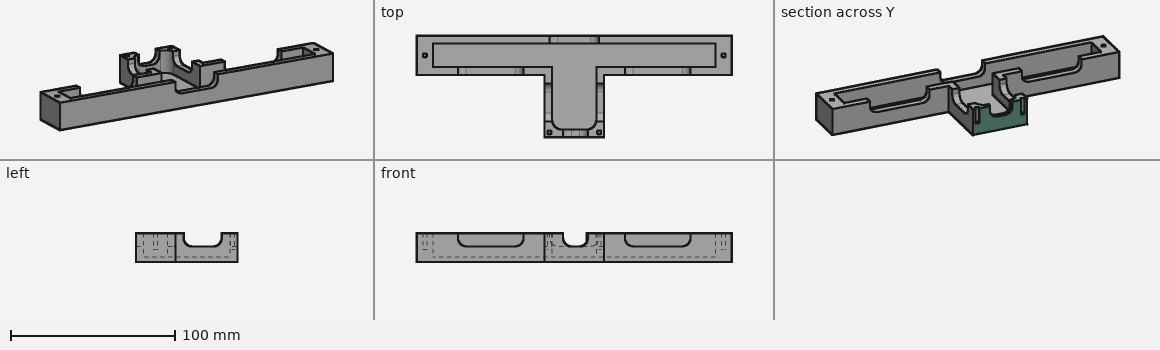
import cadquery as cq

bar_length = 192.1
bar_depth = 24.0
total_depth = 62.0
height = 17.7
stem_width = 36.5

wall = 4.8
end_wall = 10.0
floor_thickness = 3.0
cavity_corner_radius = 6.0

notch_depth = 8.0
notch_radius = 5.0
back_notch_width = 30.0
front_notch_width = 40.0
front_notch_offset = 51.0
stem_notch_width = 15.0
stem_notch_offset = 0.8
side_notch_width = 23.0
side_notch_from_end = 9.8

hole_diameter = 2.5
hole_depth = 10.0
bar_hole_inset = 5.0
stem_hole_inset = 3.0

bar_front_y = -bar_depth
stem_end_y = -total_depth


def block(x_size, y_back, y_front, z_bottom):
    """Box centred on X = 0, between two Y planes, from z_bottom to the top face."""
    return (
        cq.Workplane("XY", origin=(0, (y_back + y_front) / 2, z_bottom))
        .rect(x_size, y_back - y_front)
        .extrude(height - z_bottom)
    )


def notch(width, length):
    """Notch cutter at the top face, running along Y for the given length about the origin."""
    return (
        cq.Workplane("XY")
        .box(width, length, 2 * notch_depth)
        .edges("|Y and <Z")
        .fillet(notch_radius)
        .translate((0, 0, height))
    )


body = block(bar_length, 0, bar_front_y, 0).union(block(stem_width, 0, stem_end_y, 0))

bar_cavity = block(bar_length - 2 * end_wall, -wall, bar_front_y + wall, floor_thickness)
stem_cavity = (
    block(stem_width - 2 * wall, -wall, stem_end_y + wall, floor_thickness)
    .edges("|Z and <Y")
    .fillet(cavity_corner_radius)
)
body = body.cut(bar_cavity).cut(stem_cavity)

wall_notches = [
    (back_notch_width, 0, -wall / 2),
    (front_notch_width, -front_notch_offset, bar_front_y + wall / 2),
    (front_notch_width, front_notch_offset, bar_front_y + wall / 2),
    (stem_notch_width, stem_notch_offset, stem_end_y + wall / 2),
]
for width, x, y in wall_notches:
    body = body.cut(notch(width, wall).translate((x, y, 0)))

side_notch_y = stem_end_y + side_notch_from_end + side_notch_width / 2
side_notch = notch(side_notch_width, stem_width).rotate((0, 0, 0), (0, 0, 1), 90)
body = body.cut(side_notch.translate((0, side_notch_y, 0)))

bar_hole_x = bar_length / 2 - bar_hole_inset
stem_hole_x = stem_width / 2 - stem_hole_inset
stem_hole_y = stem_end_y + stem_hole_inset
hole_positions = [
    (side * x, y)
    for x, y in [(bar_hole_x, -bar_depth / 2), (stem_hole_x, stem_hole_y)]
    for side in (-1, 1)
]
holes = (
    cq.Workplane("XY", origin=(0, 0, height))
    .pushPoints(hole_positions)
    .circle(hole_diameter / 2)
    .extrude(-hole_depth)
)
result = body.cut(holes)